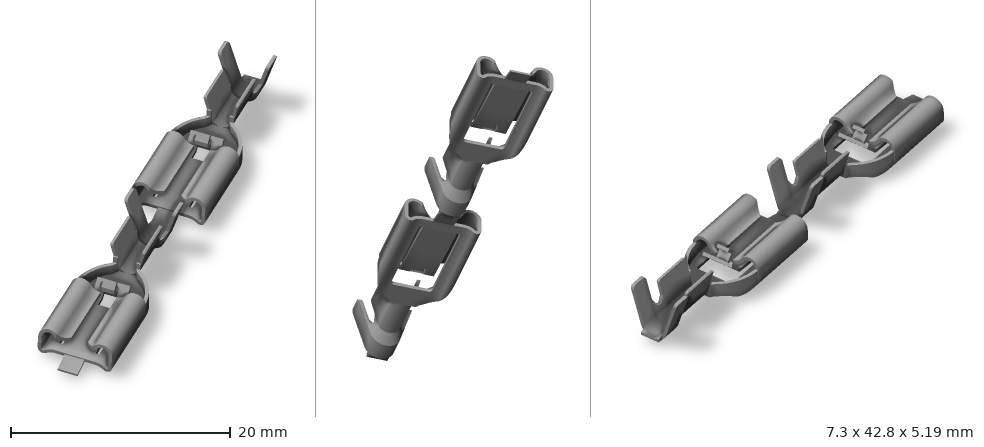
import cadquery as cq
import math


terminal_count = 2
pitch = 21.4
height_step = 0.13
sheet = 0.35
strip_half_width = 1.0
JOIN_GAP = 4.28e-07

mouth_y = 1.63
receptacle_back_y = 9.4
width = 7.3
half_width = width / 2
floor_bottom = -1.75
floor_top = floor_bottom + sheet
floor_flat_half = 1.95
corner_radius = 0.5
corner_bottom = -2.2
roof_radius = 1.03
roof_top = 0.7
roof_edge_half = 0.8
roof_edge_bottom = -0.73
mouth_slope_run = 0.25
mouth_slope_base = -1.05
roof_cut_half = 2.15
roof_cut_y = 2.8

shoulder_back_half = 1.25
shoulder_knee = (1.5, 13.35)
shoulder_bow = (2.7, 12.15)
shoulder_front_half = 3.6
shoulder_wall_top = -0.35
web_front_y = 13.55
web_top = 0.3

tongue_hinge_y = 2.7
window_half = 1.95
window_back_y = 11.3
window_round = 0.35
tongue_half = 1.63
tongue_bend_y = 9.4
tongue_bend_rise = 0.43
tongue_tip_y = 10.85
latch_half = 0.65
latch_root_y = 9.95
latch_bend_y = 9.2
latch_tip_y = 10.0
latch_slot_y = 8.4

wire_front_y = 13.75
wire_back_y = 17.9
wire_lean = 15.0
wire_radius = 1.25
wire_arc = 51.0
wire_bottom = floor_bottom
wire_top = 1.7
wire_round = 0.3
neck_top = 0.13
neck_notch_bottom = -0.6
neck_notch_half = 0.15
insulation_front_y = 18.87
insulation_back_y = 20.8
insulation_lean = 17.0
insulation_arc = 72.0
insulation_radius = 1.45
insulation_bottom = -2.53
insulation_top = 2.53
insulation_round = 0.43

carrier_sheet = 0.2
carrier_end_bottom = -2.2
tail_end_bottom = -2.1


def polar(center, radius, angle):
    a = math.radians(angle)
    return (center[0] + radius * math.cos(a), center[1] + radius * math.sin(a))


def direction(start, end):
    return math.degrees(math.atan2(end[1] - start[1], end[0] - start[0]))


def add_arc(section, start, middle, end):
    """Arc, led up to by a line unless the outline already stands at its start."""
    here = section.vals()[-1]
    here = here.endPoint() if isinstance(here, cq.Edge) else here
    if (section.plane.toLocalCoords(here) - cq.Vector(*start)).Length > JOIN_GAP:
        section = section.lineTo(*start)
    return section.threePointArc(middle, end)


def half_section(arcs, y, tip_length=0, heading=0):
    """Sheet section in XZ from X = 0 through arcs to an optional straight tip.

    Each arc is (center, mid-sheet radius, start angle, end angle, side); side is
    1 where the outside of the bend is the outer skin and -1 where it is the inner.
    """
    def skin(offset):
        runs = []
        for center, radius, start, end, side in arcs:
            r = radius + side * offset
            runs.append([polar(center, r, a) for a in (start, (start + end) / 2, end)])
        return runs

    outer = skin(sheet / 2)
    inner = skin(-sheet / 2)
    section = cq.Workplane("XZ", origin=(0, y, 0)).moveTo(0, outer[0][0][1])
    for start, middle, end in outer:
        section = add_arc(section, start, middle, end)
    if tip_length > 0:
        section = section.lineTo(*polar(outer[-1][2], tip_length, heading))
        section = section.lineTo(*polar(inner[-1][2], tip_length, heading))
    for start, middle, end in reversed(inner):
        section = add_arc(section, end, middle, start)
    if inner[0][0][0] > JOIN_GAP:
        section = section.lineTo(0, inner[0][0][1])
    return section.close()


def reverse_radius(center, radius, level_x, level_z, up):
    """Radius of an arc that is level at a point and runs tangent into a given arc."""
    dx = center[0] - level_x
    rise = up * (center[1] - level_z)
    return (dx ** 2 + rise ** 2 - radius ** 2) / (2 * (radius + rise))


corner_center = (half_width - corner_radius, corner_bottom + corner_radius)
corner_mid = corner_radius - sheet / 2
floor_mid = floor_bottom + sheet / 2
dip_radius = reverse_radius(corner_center, corner_mid, floor_flat_half, floor_mid, -1)
dip_center = (floor_flat_half, floor_mid - dip_radius)
dip_end = direction(dip_center, corner_center)
floor_arcs = [
    (dip_center, dip_radius, 90, dip_end, -1),
    (corner_center, corner_mid, dip_end - 180, 0, 1),
]


def box(x0, x1, y0, y1, z0, z1):
    return cq.Workplane("XY").box(x1 - x0, y1 - y0, z1 - z0, centered=False).translate((x0, y0, z0))


def side_plate(points, half):
    """Plate with the given YZ outline, from X = 0 to a half width."""
    return cq.Workplane("YZ").polyline(points).close().extrude(half)


def receptacle():
    roof_center = (half_width - roof_radius, roof_top - roof_radius)
    roof_mid = roof_radius - sheet / 2
    edge_mid = roof_edge_bottom + sheet / 2
    curl_radius = reverse_radius(roof_center, roof_mid, roof_edge_half, edge_mid, 1)
    curl_center = (roof_edge_half, edge_mid + curl_radius)
    roof_end = direction(roof_center, curl_center)
    arcs = floor_arcs + [
        (roof_center, roof_mid, 0, roof_end, 1),
        (curl_center, curl_radius, roof_end - 180, -90, -1),
    ]
    body = half_section(arcs, receptacle_back_y).extrude(receptacle_back_y - mouth_y)
    body = body.cut(side_plate([
        (mouth_y, mouth_slope_base),
        (mouth_y + mouth_slope_run, roof_top),
        (0, roof_top),
        (0, mouth_slope_base),
    ], half_width))
    roof_cut = cq.Workplane("XY", origin=(0, 0, roof_edge_bottom)).polyline([
        (0, roof_cut_y),
        (roof_edge_half, roof_cut_y),
        (roof_cut_half, mouth_y),
        (0, mouth_y),
    ]).close().extrude(roof_top - roof_edge_bottom)
    return body.cut(roof_cut)


def shoulder():
    def plan():
        return (
            cq.Workplane("XY", origin=(0, 0, corner_bottom))
            .moveTo(-sheet, receptacle_back_y - sheet)
            .lineTo(shoulder_front_half, receptacle_back_y - sheet)
            .lineTo(shoulder_front_half, receptacle_back_y)
            .threePointArc(shoulder_bow, shoulder_knee)
            .lineTo(shoulder_back_half, wire_front_y)
            .lineTo(shoulder_back_half, wire_front_y + sheet)
            .lineTo(-sheet, wire_front_y + sheet)
            .close()
        )

    def space_above_skin(offset):
        """Everything over one skin of the floor, up to the top of the wall."""
        section = cq.Workplane("XZ", origin=(0, wire_front_y, 0))
        section = section.moveTo(0, floor_mid - offset)
        for center, radius, start, end, side in floor_arcs:
            r = radius + side * offset
            points = [polar(center, r, a) for a in (start, (start + end) / 2, end)]
            section = add_arc(section, *points)
        section = section.lineTo(half_width - sheet / 2 + offset, web_top)
        return section.lineTo(0, web_top).close().extrude(wire_front_y - receptacle_back_y)

    height = web_top - corner_bottom
    outer = space_above_skin(sheet / 2).intersect(plan().extrude(height))
    hollow = space_above_skin(-sheet / 2).intersect(plan().offset2D(-sheet).extrude(height))
    above_wall = box(0, half_width, receptacle_back_y, web_front_y, shoulder_wall_top, web_top)
    return outer.cut(hollow).cut(above_wall)


def tongue():
    """Half tongue, its latch slot and the latch.

    The tongue rises gently from its hinge, then turns up at 45 degrees. The latch is
    cut from it and folded forward, then back.
    """
    lean = sheet / math.sqrt(2)
    toe = sheet * math.tan(math.radians(45 / 2))
    bend_z = floor_top + tongue_bend_rise
    tip_z = bend_z - sheet + tongue_tip_y - tongue_bend_y - toe
    plate = side_plate([
        (tongue_hinge_y, floor_bottom),
        (tongue_bend_y + toe, bend_z - sheet),
        (tongue_tip_y, tip_z),
        (tongue_tip_y - lean, tip_z + lean),
        (tongue_bend_y, bend_z),
        (tongue_hinge_y, floor_top),
    ], tongue_half)
    slot_depth = 2 * sheet
    slot = side_plate([
        (latch_slot_y, roof_top),
        (latch_slot_y, bend_z),
        (latch_slot_y + slot_depth, bend_z - slot_depth),
        (latch_root_y, bend_z - slot_depth),
        (latch_root_y, roof_top),
    ], latch_half)
    root_z = bend_z + latch_root_y - tongue_bend_y
    fold_z = root_z + latch_root_y - latch_bend_y
    latch_tip_z = fold_z + latch_tip_y - latch_bend_y
    latch = side_plate([
        (latch_root_y + lean, root_z),
        (latch_root_y, root_z - lean),
        (latch_bend_y, fold_z - lean),
        (latch_bend_y, fold_z + lean),
        (latch_tip_y - lean, latch_tip_z),
        (latch_tip_y, latch_tip_z - lean),
        (latch_bend_y + lean, fold_z),
    ], latch_half)
    return plate, slot, latch


def u_section(radius, bottom, arc, lean, top, y):
    """Half of a round-bottomed U whose straight wing leans outwards."""
    center = (0, bottom + radius)
    mid = radius - sheet / 2
    foot = polar(center, mid, arc - 90)
    wing_length = (top - foot[1]) / math.cos(math.radians(lean))
    return half_section([(center, mid, -90, arc - 90, 1)], y, wing_length, 90 - lean)


def wire_section(top, y):
    return u_section(wire_radius, wire_bottom, wire_arc, wire_lean, top, y)


def insulation_section(top, y):
    return u_section(insulation_radius, insulation_bottom, insulation_arc, insulation_lean, top, y)


def round_wing(wing, front_y, back_y, top, radius):
    """Round both top corners of a wing, as seen from its side."""
    outline = box(0, half_width, front_y, back_y, insulation_bottom, top).edges("|X and >Z").fillet(radius)
    return wing.intersect(outline)


def loft(first, second):
    wires = [first.wire().val(), second.wire().val()]
    return cq.Workplane(cq.Solid.makeLoft(wires, True))


def wire_crimp():
    wing = wire_section(wire_top, wire_back_y).extrude(wire_back_y - wire_front_y)
    return round_wing(wing, wire_front_y, wire_back_y, wire_top, wire_round)


def neck():
    body = loft(wire_section(neck_top, wire_back_y), insulation_section(neck_top, insulation_front_y))
    middle = (wire_back_y + insulation_front_y) / 2
    notch = side_plate([
        (wire_back_y, neck_top + sheet),
        (wire_back_y, neck_top),
        (middle - neck_notch_half, neck_notch_bottom),
        (middle + neck_notch_half, neck_notch_bottom),
        (insulation_front_y, neck_top),
        (insulation_front_y, neck_top + sheet),
    ], half_width)
    return body.cut(notch)


def insulation_crimp():
    length = insulation_back_y - insulation_front_y
    wing = insulation_section(insulation_top, insulation_back_y).extrude(length)
    return round_wing(wing, insulation_front_y, insulation_back_y, insulation_top, insulation_round)


def tail():
    """Strip stub that runs from the round bottom of the insulation crimp to a flat end."""
    center = (0, insulation_bottom + insulation_radius)

    def skin(radius):
        reach = math.degrees(math.acos(strip_half_width / radius))
        return [polar(center, radius, a) for a in (-90, -(90 + reach) / 2, -reach)]

    outer = skin(insulation_radius)
    inner = skin(insulation_radius - sheet)
    root = (
        cq.Workplane("XZ", origin=(0, insulation_back_y, 0))
        .moveTo(*outer[0]).threePointArc(*outer[1:])
        .lineTo(*inner[2]).threePointArc(inner[1], inner[0]).close()
    )
    end_top = tail_end_bottom + sheet
    end = cq.Workplane("XZ", origin=(0, pitch, 0)).polyline([
        (0, tail_end_bottom),
        (strip_half_width, tail_end_bottom),
        (strip_half_width, end_top),
        (0, end_top),
    ]).close()
    return loft(root, end)


def carrier():
    """Piece of the carrier strip that drops from the mouth to the next terminal."""
    return side_plate([
        (mouth_y, floor_bottom),
        (mouth_y, floor_bottom + carrier_sheet),
        (0, carrier_end_bottom + carrier_sheet),
        (0, carrier_end_bottom),
    ], strip_half_width)


def terminal():
    plate, slot, latch = tongue()
    window = box(0, window_half, tongue_hinge_y, window_back_y, floor_bottom, floor_top)
    window = window.edges("|Z and >X and >Y").fillet(window_round)
    half = receptacle().union(shoulder()).cut(window)
    half = half.union(plate).cut(slot).union(latch)
    for piece in (wire_crimp(), neck(), insulation_crimp(), tail(), carrier()):
        half = half.union(piece)
    return half.union(half.mirror("YZ"))


terminals = []
for index in range(terminal_count):
    terminals.append(terminal().translate((0, -index * pitch, -index * height_step)))

result = cq.Compound.makeCompound([body.val() for body in terminals])